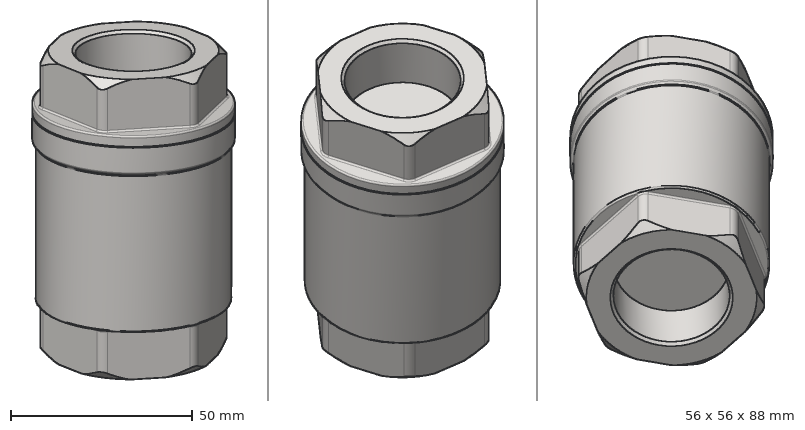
import cadquery as cq
import math

total_height = 88.0

hex_height = 15.0
across_flats = 46.0
across_corners = across_flats / math.cos(math.radians(30))
hex_corner_radius = 3.0
hex_foot_radius = 0.5
end_face_radius = 23.5
end_chamfer_angle = 45.0

body_radius = 54.0 / 2
body_fillet = 0.5
flange_radius = 56.0 / 2
flange_height = 11.0
rim_fillet = 0.5

groove_depth = 0.1
groove_width = 0.35
groove_drop = 3.3

port_radius = 32.0 / 2
port_depth = 15.0
port_chamfer = 0.9

body_bottom = hex_height
flange_top = total_height - hex_height
flange_bottom = flange_top - flange_height
cone_bottom = flange_bottom - (flange_radius - body_radius)


def make_body():
    """Revolve the round body and flange about Z and round off their rims."""
    groove_top = flange_top - groove_drop + groove_width / 2
    groove_bottom = groove_top - groove_width
    groove_radius = flange_radius - groove_depth
    profile = [
        (0, body_bottom),
        (body_radius, body_bottom),
        (body_radius, cone_bottom),
        (flange_radius, flange_bottom),
        (flange_radius, groove_bottom),
        (groove_radius, groove_bottom),
        (groove_radius, groove_top),
        (flange_radius, groove_top),
        (flange_radius, flange_top),
        (0, flange_top),
    ]
    body = cq.Workplane("XZ").polyline(profile).close().revolve(360, (0, 0), (0, 1))
    body = body.faces("<Z").edges().fillet(body_fillet)
    body = body.faces(">Z").edges().fillet(rim_fillet)
    return body.faces("%CONE").edges("%CIRCLE").fillet(rim_fillet)


def make_hex_prism():
    """Hexagon standing on the flange, with flats facing +X and -X and rounded corners."""
    return (
        cq.Workplane("XY", origin=(0, 0, flange_top))
        .transformed(rotate=(0, 0, 30))
        .polygon(6, across_corners)
        .extrude(hex_height)
        .edges("|Z")
        .fillet(hex_corner_radius)
    )


def make_end_envelope():
    """Round envelope above the flange whose sloping top trims the hexagon corners."""
    slope = math.tan(math.radians(end_chamfer_angle))
    outer_drop = (flange_radius - end_face_radius) * slope
    profile = [
        (0, flange_top),
        (flange_radius, flange_top),
        (flange_radius, total_height - outer_drop),
        (end_face_radius, total_height),
        (0, total_height),
    ]
    return cq.Workplane("XZ").polyline(profile).close().revolve(360, (0, 0), (0, 1))


def make_port():
    """Chamfered blind bore opening at the top face."""
    bore_floor = total_height - port_depth
    profile = [
        (0, bore_floor),
        (port_radius, bore_floor),
        (port_radius, total_height - port_chamfer),
        (port_radius + port_chamfer, total_height),
        (0, total_height),
    ]
    return cq.Workplane("XZ").polyline(profile).close().revolve(360, (0, 0), (0, 1))


def at_both_ends(top_feature):
    """Pair a feature of the top end with its mirror image at the bottom end."""
    mid_height = (0, 0, total_height / 2)
    return [top_feature, top_feature.mirror("XY", mid_height)]


def make_wrench_end():
    """Hexagon with trimmed corners and a concave fillet flaring out at its foot."""
    foot_reach = across_corners / 2
    foot_edges = cq.selectors.BoxSelector(
        (-foot_reach, -foot_reach, flange_top - hex_foot_radius),
        (foot_reach, foot_reach, flange_top + hex_foot_radius),
    )
    plate_side = 4 * flange_radius
    plate = cq.Workplane("XY", origin=(0, 0, flange_top)).rect(plate_side, plate_side).extrude(-hex_height)
    flared = plate.union(make_hex_prism()).edges(foot_edges).fillet(hex_foot_radius)
    return flared.intersect(make_end_envelope())


result = make_body()
for wrench_end in at_both_ends(make_wrench_end()):
    result = result.union(wrench_end)
for port in at_both_ends(make_port()):
    result = result.cut(port)